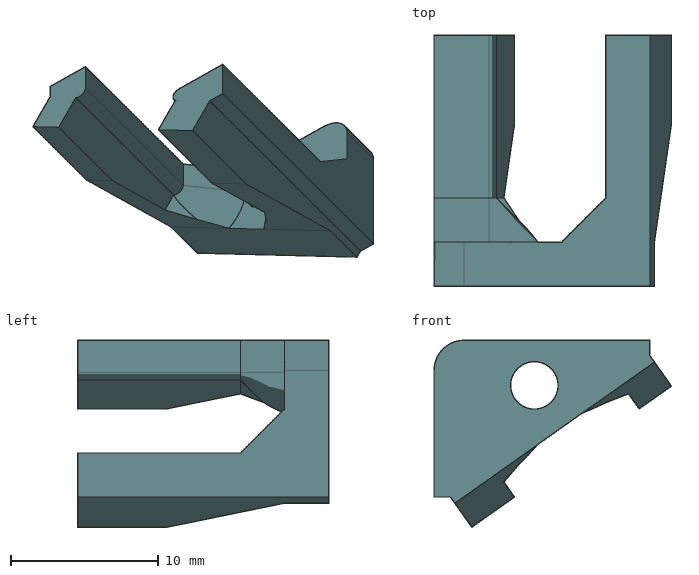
import math

import cadquery as cq

depth = 17.05
plate_width = 14.65
plate_height = 10.65
plate_thickness = 3.0
corner_radius = 2.05

slant_angle = math.atan(math.sqrt(0.5))
slant_start_x = 1.41
slant_start_z = -11.07
slant_length = 16.6
slant_along_x = math.cos(slant_angle)
slant_along_z = math.sin(slant_angle)
slant_end_x = slant_start_x + slant_length * slant_along_x
slant_end_z = slant_start_z + slant_length * slant_along_z

leg_thickness = 3.0
leg_edge_radius = 0.52
leg_recess = (-plate_height - slant_start_z) / slant_along_x
gusset_size = 3.0
gusset_end_y = plate_thickness + gusset_size
gusset_taper = -45.0

foot_height = 2.0
foot_ramp_end_y = 11.0

hole_diameter = 3.2
hole_x = 6.81
hole_z = -3.07


def front_plane(y):
    """Plane at depth y with local axes X and Z; extruding by a negative length goes toward +Y."""
    return cq.Workplane("XZ", origin=(0, y, 0))


def slant_plane(y):
    """Like front_plane, but with local X along the slanted face and local Y square to it, into the plate."""
    frame = cq.Plane(
        origin=(slant_start_x, y, slant_start_z),
        xDir=(slant_along_x, 0, slant_along_z),
        normal=(0, -1, 0),
    )
    return cq.Workplane(frame)


def triangle_prism(length):
    """Plate outline before its corner is rounded; short steps square to the slant trim the sharp ends."""
    step_x = slant_start_x - (-plate_height - slant_start_z) * math.tan(slant_angle)
    step_z = slant_end_z + (slant_end_x - plate_width) / math.tan(slant_angle)
    outline = [
        (0, 0),
        (plate_width, 0),
        (plate_width, step_z),
        (slant_end_x, slant_end_z),
        (slant_start_x, slant_start_z),
        (step_x, -plate_height),
        (0, -plate_height),
    ]
    return front_plane(0).polyline(outline).close().extrude(-length)


def with_gusset(make_profile):
    """Profile extruded over the full depth, widening at 45 degrees where it meets the plate."""
    straight = make_profile(0).extrude(-depth)
    gusset = make_profile(gusset_end_y).extrude(gusset_size, taper=gusset_taper)
    return straight.union(gusset)


def edge_point(center_x, center_z, direction):
    """Point of the rounded leg edge in the given direction (radians, from +X toward +Z)."""
    return (
        center_x + leg_edge_radius * math.cos(direction),
        center_z + leg_edge_radius * math.sin(direction),
    )


def place_along_slant(x, z):
    """Distance of a point from the low end of the slanted face, measured along that face."""
    return (x - slant_start_x) * slant_along_x + (z - slant_start_z) * slant_along_z


slant_normal = slant_angle - math.pi / 2
lower_arc_middle = (math.pi / 2 + slant_normal) / 2
upper_arc_middle = (-math.pi + slant_normal) / 2

edge_center_height = leg_recess + leg_edge_radius
recess_x = -leg_recess * slant_along_z
recess_z = leg_recess * slant_along_x
lower_inner_z = leg_thickness - plate_height
lower_center_z = lower_inner_z - leg_edge_radius
lower_center_x = slant_start_x + (
    (lower_center_z - slant_start_z) * slant_along_x - edge_center_height
) / slant_along_z

upper_inner_x = plate_width - leg_thickness
upper_center_x = upper_inner_x + leg_edge_radius
upper_center_z = slant_start_z + (
    edge_center_height + (upper_center_x - slant_start_x) * slant_along_z
) / slant_along_x


def lower_leg_profile(y):
    return (
        front_plane(y)
        .moveTo(0, lower_inner_z)
        .lineTo(lower_center_x, lower_inner_z)
        .threePointArc(
            edge_point(lower_center_x, lower_center_z, lower_arc_middle),
            edge_point(lower_center_x, lower_center_z, slant_normal),
        )
        .lineTo(slant_start_x + recess_x, slant_start_z + recess_z)
        .lineTo(0, slant_start_z + recess_z)
        .close()
    )


def upper_leg_profile(y):
    return (
        front_plane(y)
        .moveTo(upper_inner_x, 0)
        .lineTo(upper_inner_x, upper_center_z)
        .threePointArc(
            edge_point(upper_center_x, upper_center_z, upper_arc_middle),
            edge_point(upper_center_x, upper_center_z, slant_normal),
        )
        .lineTo(slant_end_x + recess_x, slant_end_z + recess_z)
        .lineTo(slant_end_x + recess_x, 0)
        .close()
    )


def foot_profile(start, end):
    """Profile maker for a foot that covers the slanted face from start to end."""

    def profile(y):
        corners = [
            (start, -foot_height),
            (end, -foot_height),
            (end, leg_recess),
            (start, leg_recess),
        ]
        return slant_plane(y).polyline(corners).close()

    return profile


def make_plate():
    plate = triangle_prism(plate_thickness)
    return plate.edges("|Y and <X and >Z").fillet(corner_radius)


def make_legs():
    return with_gusset(lower_leg_profile).union(with_gusset(upper_leg_profile))


def make_feet():
    lower_end = place_along_slant(lower_center_x, lower_center_z)
    upper_start = place_along_slant(upper_center_x, upper_center_z)
    lower_foot = with_gusset(foot_profile(0, lower_end))
    upper_foot = with_gusset(foot_profile(upper_start, slant_length))
    return lower_foot.union(upper_foot)


def make_ramp():
    """Space for the feet: a band along the slanted face that deepens from the plate toward the back."""
    side_plane = cq.Plane(
        origin=(slant_start_x, 0, slant_start_z),
        xDir=(0, 1, 0),
        normal=(slant_along_x, 0, slant_along_z),
    )
    side_outline = [
        (plate_thickness, leg_recess),
        (plate_thickness, 0),
        (foot_ramp_end_y, -foot_height),
        (depth, -foot_height),
        (depth, leg_recess),
    ]
    return cq.Workplane(side_plane).polyline(side_outline).close().extrude(slant_length)


def make_hole():
    return front_plane(0).center(hole_x, hole_z).circle(hole_diameter / 2).extrude(-plate_thickness)


envelope = triangle_prism(depth).union(make_ramp())
legs_and_feet = make_legs().union(make_feet()).intersect(envelope)
result = make_plate().union(legs_and_feet).cut(make_hole())